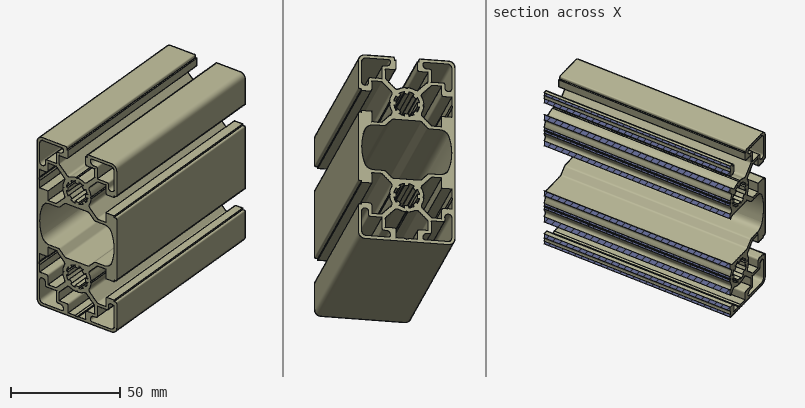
import cadquery as cq
import math

WIDTH = 45.0
HEIGHT = 90.0
LENGTH = 100.0
CORNER_RADIUS = 3.0
WALL = 1.5

HALF_CELL = WIDTH / 2
CORE_Z = HEIGHT / 2 - HALF_CELL
CORE_RADIUS = 8.0
BORE_RADIUS = 6.0
TOOTH_TIP_RADIUS = 4.9
TOOTH_WIDTH = 2.1
TOOTH_COUNT = 8

MOUTH_HALF = 4.9
STEP_HALF = 5.7
LIP_DEPTH = 6.2
CAVITY_HALF = 10.0
WEB_OFFSET = 1.7
MOUTH_EDGE_RADIUS = 0.7
LIP_TIP_RADIUS = 1.0
CAVITY_RADIUS = 1.0
WEB_ROOT_RADIUS = 1.5

GROOVE_HALF = 1.0
GROOVE_DEPTH = 0.4

POCKET_NEAR = CAVITY_HALF + WALL
POCKET_ARM_WIDTH = 3.2
POCKET_ARM_END = 7.6
POCKET_CORNER_RADIUS = 0.8
POCKET_OUTER_RADIUS = 2.0
ARM_END_RADIUS = 1.5
ARM_LIP_RADIUS = 2.0
ARM_TOP_RADIUS = 1.0

CHAMBER_ROOF_Z = CORE_Z - CORE_RADIUS
CHAMBER_SHOULDER_Z = CORE_Z - CAVITY_HALF - WALL
CHAMBER_WEB_OFFSET = 1.4
CHAMBER_SIDE_RADIUS = 24.0
CHAMBER_CORNER_RADIUS = 4.5
CHAMBER_BEND_RADIUS = 1.6


def extrude(profile):
    """Extrude an XZ profile over the full length, centred on Y."""
    return profile.extrude(LENGTH).translate((0, LENGTH / 2, 0))


def rounded_prism(corners):
    """Prism from (x, z, radius) corners; a zero radius leaves the corner sharp."""
    tangents = []
    for i, (x, z, radius) in enumerate(corners):
        corner = cq.Vector(x, z)
        before = (cq.Vector(*corners[i - 1][:2]) - corner).normalized()
        after = (cq.Vector(*corners[(i + 1) % len(corners)][:2]) - corner).normalized()
        half_angle = before.getAngle(after) / 2
        setback = radius / math.tan(half_angle)
        sagitta_gap = radius / math.sin(half_angle) - radius
        middle = corner + (before + after).normalized() * sagitta_gap
        tangents.append((corner + before * setback, middle, corner + after * setback, radius))

    profile = cq.Workplane("XZ").moveTo(*tangents[-1][2].toTuple()[:2])
    for start, middle, end, radius in tangents:
        profile = profile.lineTo(*start.toTuple()[:2])
        if radius > 0:
            profile = profile.threePointArc(middle.toTuple()[:2], end.toTuple()[:2])
    return extrude(profile.close())


def groove(base_z, tip_z):
    """V groove on the slot centre line, widest at base_z."""
    return rounded_prism([(-GROOVE_HALF, base_z, 0), (0, tip_z, 0), (GROOVE_HALF, base_z, 0)])


def slot_cavity(tip_radius_right):
    """Wide part and throat of a slot opening toward +Z from a core at the origin."""
    lip_z = HALF_CELL - LIP_DEPTH
    floor_z = HALF_CELL - WALL
    web_z = CAVITY_HALF + WEB_OFFSET
    cavity = rounded_prism([
        (0, WEB_OFFSET, 0),
        (CAVITY_HALF, web_z, CAVITY_RADIUS),
        (CAVITY_HALF, lip_z, 0),
        (-CAVITY_HALF, lip_z, 0),
        (-CAVITY_HALF, web_z, CAVITY_RADIUS),
    ])
    cavity = cavity.cut(extrude(cq.Workplane("XZ").circle(CORE_RADIUS)))
    root_x = (math.sqrt(2 * CORE_RADIUS**2 - WEB_OFFSET**2) - WEB_OFFSET) / 2
    for x in (-root_x, root_x):
        root = cq.selectors.NearestToPointSelector((x, 0, root_x + WEB_OFFSET))
        cavity = cavity.edges("|Y").edges(root).fillet(WEB_ROOT_RADIUS)
    throat = rounded_prism([
        (-MOUTH_HALF, lip_z, 0),
        (MOUTH_HALF, lip_z, 0),
        (MOUTH_HALF, floor_z, 0),
        (-MOUTH_HALF, floor_z, 0),
    ])
    cavity = cavity.union(throat)
    for x, radius in ((-MOUTH_HALF, LIP_TIP_RADIUS), (MOUTH_HALF, tip_radius_right)):
        if radius > 0:
            tip = cq.selectors.NearestToPointSelector((x, 0, lip_z))
            cavity = cavity.edges("|Y").edges(tip).fillet(radius)
    return cavity.union(groove(CORE_RADIUS + GROOVE_DEPTH, CORE_RADIUS - GROOVE_DEPTH))


def slot(is_open, tip_radius_right=LIP_TIP_RADIUS):
    """Slot toward +Z: open through a stepped mouth, or closed by the outer wall."""
    floor_z = HALF_CELL - WALL
    cavity = slot_cavity(tip_radius_right)
    if not is_open:
        return cavity.union(groove(floor_z, floor_z + GROOVE_DEPTH))
    flare = STEP_HALF + MOUTH_EDGE_RADIUS
    mouth = extrude(
        cq.Workplane("XZ")
        .moveTo(-STEP_HALF, floor_z)
        .lineTo(STEP_HALF, floor_z)
        .lineTo(STEP_HALF, HALF_CELL - MOUTH_EDGE_RADIUS)
        .radiusArc((flare, HALF_CELL), MOUTH_EDGE_RADIUS)
        .lineTo(-flare, HALF_CELL)
        .radiusArc((-STEP_HALF, HALF_CELL - MOUTH_EDGE_RADIUS), MOUTH_EDGE_RADIUS)
        .close()
    )
    return cavity.union(mouth)


def side_slot(is_open):
    """Slot toward +X, with a sharp lip on the chamber side."""
    return slot(is_open, tip_radius_right=0).rotate((0, 0, 0), (0, 1, 0), 90)


def core_bore():
    """Round bore with inward teeth."""
    bore = extrude(cq.Workplane("XZ").circle(BORE_RADIUS))
    tooth_depth = BORE_RADIUS - TOOTH_TIP_RADIUS
    tooth = cq.Workplane("XY").box(TOOTH_WIDTH, LENGTH, 2 * tooth_depth)
    tooth = tooth.translate((0, 0, BORE_RADIUS))
    for i in range(TOOTH_COUNT):
        bore = bore.cut(tooth.rotate((0, 0, 0), (0, 1, 0), i * 360 / TOOTH_COUNT))
    return bore


def corner_pocket():
    """L-shaped hollow in the +X +Z corner of a cell."""
    far = HALF_CELL - WALL
    arm = far - POCKET_ARM_WIDTH
    return rounded_prism([
        (far, far, POCKET_OUTER_RADIUS),
        (POCKET_ARM_END, far, ARM_TOP_RADIUS),
        (POCKET_ARM_END, arm, ARM_LIP_RADIUS),
        (POCKET_NEAR, arm, POCKET_CORNER_RADIUS),
        (POCKET_NEAR, POCKET_NEAR, 0),
        (arm, POCKET_NEAR, POCKET_CORNER_RADIUS),
        (arm, POCKET_ARM_END, ARM_END_RADIUS),
        (far, POCKET_ARM_END, ARM_END_RADIUS),
    ])


def chamber():
    """Central hollow: bowed sides, shoulders, and a raised roof and floor."""
    roof_x = CORE_RADIUS - CHAMBER_WEB_OFFSET
    shoulder_x = CAVITY_HALF + WALL - CHAMBER_WEB_OFFSET
    side_x = HALF_CELL - WALL
    bow_center = side_x - CHAMBER_SIDE_RADIUS
    disc = extrude(cq.Workplane("XZ").center(bow_center, 0).circle(CHAMBER_SIDE_RADIUS))
    body = cq.Workplane("XY").box(2 * side_x, LENGTH, 2 * CHAMBER_SHOULDER_Z)
    body = body.intersect(disc).intersect(disc.mirror("YZ"))
    body = body.edges("|Y").fillet(CHAMBER_CORNER_RADIUS)
    right_edge = [
        (roof_x, CHAMBER_ROOF_Z, CHAMBER_BEND_RADIUS),
        (shoulder_x, CHAMBER_SHOULDER_Z, CHAMBER_BEND_RADIUS),
        (POCKET_NEAR, CHAMBER_SHOULDER_Z, 0),
        (POCKET_NEAR, -CHAMBER_SHOULDER_Z, 0),
        (shoulder_x, -CHAMBER_SHOULDER_Z, CHAMBER_BEND_RADIUS),
        (roof_x, -CHAMBER_ROOF_Z, CHAMBER_BEND_RADIUS),
    ]
    left_edge = [(-x, -z, radius) for x, z, radius in right_edge]
    raised = rounded_prism(right_edge + left_edge)
    return body.union(raised)


result = cq.Workplane("XY").box(WIDTH, LENGTH, HEIGHT).edges("|Y").fillet(CORNER_RADIUS)
result = result.cut(chamber())

pocket = corner_pocket()
cell_voids = [
    core_bore(),
    pocket,
    pocket.mirror("YZ"),
    side_slot(is_open=True),
    side_slot(is_open=False).mirror("YZ"),
]
for void in cell_voids:
    upper = void.translate((0, 0, CORE_Z))
    result = result.cut(upper).cut(upper.mirror("XY"))

result = result.cut(slot(is_open=True).translate((0, 0, CORE_Z)))
result = result.cut(slot(is_open=False).translate((0, 0, CORE_Z)).mirror("XY"))